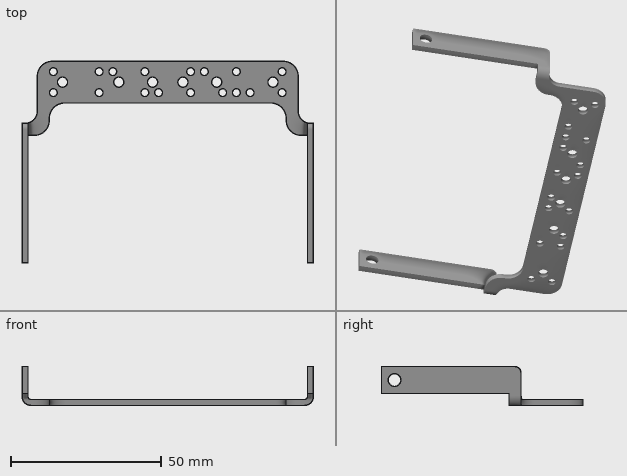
import cadquery as cq

width = 97.0
depth = 67.1
height = 13.0
thickness = 2.0
half_width = width / 2

inner_bend_radius = 1.0
outer_bend_radius = inner_bend_radius + thickness
bend_start_x = half_width - outer_bend_radius

plate_half_width = 43.5
strip_depth = 14.0
neck_width = 4.1
neck_inner_x = plate_half_width - neck_width
corner_radius = 5.0
foot_front_y = -24.7
foot_length = 4.1
foot_rear_y = foot_front_y + foot_length
foot_blend_radius = 4.0

arm_bottom_z = 4.0
arm_corner_radius = 2.0
arm_hole_diameter = 4.2
arm_hole_from_end = 4.4

row_spacing = 3.5
middle_row_y = -strip_depth / 2
rear_row_y = middle_row_y + row_spacing
front_row_y = middle_row_y - row_spacing
small_hole_diameter = 2.5
large_hole_diameter = 3.3
hole_pitch = 15.2
extra_hole_offset = 4.6
base_hole_xs = [step * hole_pitch for step in (-2.5, -1.5, -0.5, 0.5, 1.5, 2.5)]
large_hole_xs = [side * x for side in (-1, 1) for x in (5.0, 16.3, 35.0)]
rear_extra_xs = [
    -1.5 * hole_pitch + extra_hole_offset,
    0.5 * hole_pitch + extra_hole_offset,
]
front_extra_xs = [
    -0.5 * hole_pitch + extra_hole_offset,
    1.5 * hole_pitch - extra_hole_offset,
    1.5 * hole_pitch + extra_hole_offset,
]


def make_half_outline(outline_height):
    """Right half of the plan outline, out to the arm's outer face."""
    blend_center_x = plate_half_width + foot_blend_radius
    blend_start_y = foot_rear_y + foot_blend_radius
    return (
        cq.Workplane("XY")
        .moveTo(0, 0)
        .lineTo(plate_half_width - corner_radius, 0)
        .radiusArc((plate_half_width, -corner_radius), corner_radius)
        .lineTo(plate_half_width, blend_start_y)
        .radiusArc((blend_center_x, foot_rear_y), -foot_blend_radius)
        .lineTo(half_width, foot_rear_y)
        .lineTo(half_width, foot_front_y)
        .lineTo(neck_inner_x + corner_radius, foot_front_y)
        .radiusArc((neck_inner_x, foot_front_y + corner_radius), corner_radius)
        .lineTo(neck_inner_x, -strip_depth - corner_radius)
        .radiusArc((neck_inner_x - corner_radius, -strip_depth), -corner_radius)
        .lineTo(0, -strip_depth)
        .close()
        .extrude(outline_height)
    )


def make_half_plate():
    """Right half of the flat plate, ending where the bend begins."""
    flat = cq.Workplane("XY").box(bend_start_x, depth, thickness, centered=False)
    return make_half_outline(thickness).intersect(flat.translate((0, -depth, 0)))


def make_bend():
    """Quarter-round bend at the right foot, trimmed to the plan outline."""
    inner_x = half_width - thickness
    bend = (
        cq.Workplane("XZ")
        .moveTo(bend_start_x, 0)
        .radiusArc((half_width, outer_bend_radius), -outer_bend_radius)
        .lineTo(inner_x, outer_bend_radius)
        .radiusArc((bend_start_x, thickness), inner_bend_radius)
        .close()
        .extrude(depth)
    )
    return bend.intersect(make_half_outline(outer_bend_radius))


def make_arm():
    """Right upright arm with its rounded rear corner, stem and mounting hole."""
    arm_length = depth + foot_rear_y
    arm_height = height - arm_bottom_z
    arm = (
        cq.Workplane("XY")
        .box(thickness, arm_length, arm_height, centered=False)
        .translate((half_width - thickness, -depth, arm_bottom_z))
        .edges("|X and >Y and >Z")
        .fillet(arm_corner_radius)
    )
    stem = (
        cq.Workplane("XY")
        .box(thickness, foot_length, arm_bottom_z - outer_bend_radius, centered=False)
        .translate((half_width - thickness, foot_front_y, outer_bend_radius))
    )
    hole = (
        cq.Workplane("YZ", origin=(half_width - thickness, 0, 0))
        .center(-depth + arm_hole_from_end, arm_bottom_z + arm_height / 2)
        .circle(arm_hole_diameter / 2)
        .extrude(thickness)
    )
    return arm.union(stem).cut(hole)


def make_holes(xs, y, diameter):
    """Row of cylinders through the plate thickness."""
    return (
        cq.Workplane("XY")
        .pushPoints([(x, y) for x in xs])
        .circle(diameter / 2)
        .extrude(thickness)
    )


right_half = make_half_plate().union(make_bend()).union(make_arm())
bracket = right_half.union(right_half.mirror("YZ"))

hole_rows = [
    (base_hole_xs + rear_extra_xs, rear_row_y, small_hole_diameter),
    (large_hole_xs, middle_row_y, large_hole_diameter),
    (base_hole_xs + front_extra_xs, front_row_y, small_hole_diameter),
]
for xs, y, diameter in hole_rows:
    bracket = bracket.cut(make_holes(xs, y, diameter))

result = bracket.clean()